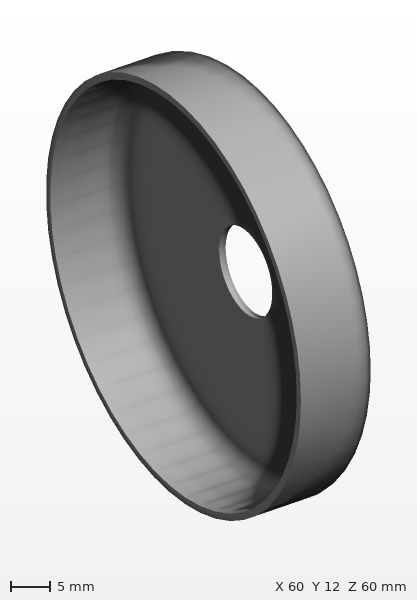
import cadquery as cq

outer_diameter = 60.0
depth = 12.0
wall = 1.0
outer_corner_radius = 3.0
hole_diameter = 12.5

inner_diameter = outer_diameter - 2 * wall
inner_corner_radius = outer_corner_radius - wall
cavity_depth = depth - wall


def rounded_disc(diameter, height, corner_radius):
    """Disc along +Y from the open rim at y = 0, with its far edge rounded."""
    disc = cq.Workplane("XZ").circle(diameter / 2).extrude(-height)
    return disc.faces(">Y").edges().fillet(corner_radius)


def center_hole():
    """Cylinder that pierces the full depth of the cap on its axis."""
    return cq.Workplane("XZ").circle(hole_diameter / 2).extrude(-depth)


shell = rounded_disc(outer_diameter, depth, outer_corner_radius)
cavity = rounded_disc(inner_diameter, cavity_depth, inner_corner_radius)

result = shell.cut(cavity).cut(center_hole())